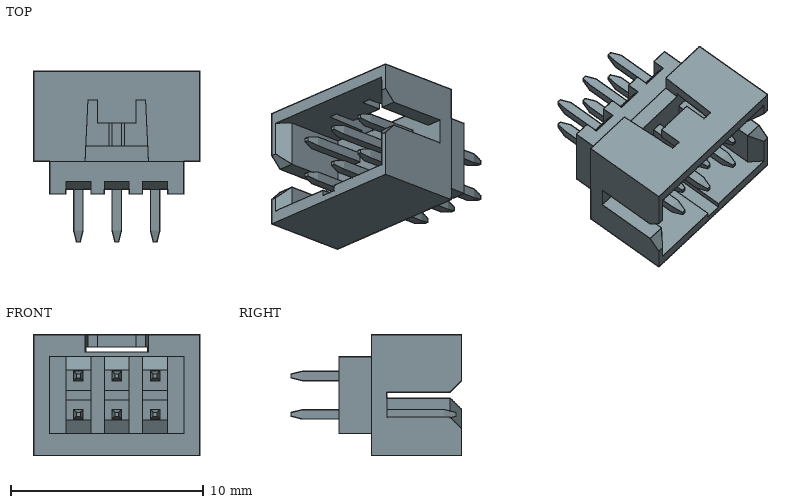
import cadquery as cq


pitch = 2.0
columns = 3
rows = 2
pin_side = 0.5
pin_tip_side = 0.2
pin_taper = 0.6
pin_front_length = 2.5
pin_mouth_setback = 0.3

base_width = 7.0
base_height = 4.0
base_depth = 1.7

shroud_width = 8.65
shroud_height = 6.3
shroud_depth = 4.7
floor_thickness = 0.8
side_wall = 0.9
top_wall = 0.65
lead_in = 0.6
key_groove_width = 0.83
key_groove_depth = 0.3

slot_height = 1.3
slot_offset = 0.5
slot_flare = 0.6

window_front_width = 3.3
window_back_width = 3.0
window_back_setback = 1.5
window_sill_depth = 0.9
latch_width = 2.0
latch_length = 1.2

pocket_width = 1.3
pocket_flat_depth = 0.25
pocket_end_depth = 0.65
pocket_ramp_height = 0.7
cross_groove_height = 0.5
cross_groove_depth = 0.25

mouth_y = base_depth + shroud_depth
floor_y = base_depth + floor_thickness
cavity_width = shroud_width - 2 * side_wall
cavity_height = shroud_height - 2 * top_wall
column_positions = [(i - (columns - 1) / 2) * pitch for i in range(columns)]
row_positions = [(i - (rows - 1) / 2) * pitch for i in range(rows)]


def block(width, y_start, y_end, height, x=0.0, z=0.0):
    """Box centred on (x, z) that spans y_start to y_end."""
    depth = y_end - y_start
    return cq.Workplane("XY").box(width, depth, height).translate((x, y_start + depth / 2, z))


def make_cavity():
    """Mating cavity with lead-in chamfers on the side walls and a key groove in the bottom wall."""
    half_width = cavity_width / 2
    half_mouth = half_width + lead_in
    outline = [
        (-half_width, floor_y),
        (half_width, floor_y),
        (half_width, mouth_y - lead_in),
        (half_mouth, mouth_y),
        (-half_mouth, mouth_y),
        (-half_width, mouth_y - lead_in),
    ]
    cavity = (
        cq.Workplane("XY")
        .workplane(offset=-cavity_height / 2)
        .polyline(outline)
        .close()
        .extrude(cavity_height)
    )
    groove_height = cavity_height / 2 + key_groove_depth
    groove = block(key_groove_width, floor_y, mouth_y, groove_height, z=-groove_height / 2)
    return cavity.union(groove)


def make_side_slot(side):
    """Slot through one side wall, flared at the mouth; side is -1 or +1 along X."""
    z_centre = -side * slot_offset
    half = slot_height / 2
    flared = half + slot_flare
    outline = [
        (floor_y, z_centre - half),
        (mouth_y - slot_flare, z_centre - half),
        (mouth_y, z_centre - flared),
        (mouth_y, z_centre + flared),
        (mouth_y - slot_flare, z_centre + half),
        (floor_y, z_centre + half),
    ]
    return cq.Workplane("YZ").polyline(outline).close().extrude(side * shroud_width / 2)


def make_window():
    """Tapered window in the top wall that leaves a latch tongue pointing to -Y."""
    back_y = mouth_y - window_back_setback
    half_front = window_front_width / 2
    half_back = window_back_width / 2
    outline = [
        (-half_front, base_depth),
        (half_front, base_depth),
        (half_back, back_y),
        (-half_back, back_y),
    ]
    top_z = shroud_height / 2
    window = (
        cq.Workplane("XY")
        .workplane(offset=top_z - window_sill_depth)
        .polyline(outline)
        .close()
        .extrude(window_sill_depth)
    )
    latch = block(latch_width, back_y - latch_length, back_y, top_wall, z=top_z - top_wall / 2)
    return window.cut(latch)


def make_pocket(x):
    """Pocket in the base's front face: flat centre, ramped ends and a shallow cross groove."""
    half_height = base_height / 2
    half_flat = half_height - pocket_ramp_height
    outline = [
        (0, -half_height),
        (pocket_end_depth, -half_height),
        (pocket_flat_depth, -half_flat),
        (pocket_flat_depth, half_flat),
        (pocket_end_depth, half_height),
        (0, half_height),
    ]
    pocket = (
        cq.Workplane("YZ")
        .workplane(offset=x - pocket_width / 2)
        .polyline(outline)
        .close()
        .extrude(pocket_width)
    )
    groove_end = pocket_flat_depth + cross_groove_depth
    return pocket.union(block(pocket_width, 0, groove_end, cross_groove_height, x=x))


def make_pin(x, z):
    """Square pin along Y with a tapered point at each end."""
    front_shoulder = pin_taper - pin_front_length
    back_shoulder = mouth_y - pin_mouth_setback - pin_taper
    pin = block(pin_side, front_shoulder, back_shoulder, pin_side, x, z)
    for shoulder, direction in ((front_shoulder, -1), (back_shoulder, 1)):
        plane = cq.Plane(origin=(x, shoulder, z), xDir=(1, 0, 0), normal=(0, direction, 0))
        point = (
            cq.Workplane(plane)
            .rect(pin_side, pin_side)
            .workplane(offset=pin_taper)
            .rect(pin_tip_side, pin_tip_side)
            .loft(ruled=True)
        )
        pin = pin.union(point)
    return pin


housing = block(base_width, 0, base_depth, base_height)
housing = housing.union(block(shroud_width, base_depth, mouth_y, shroud_height))
housing = housing.cut(make_cavity())
housing = housing.cut(make_window())
for side in (-1, 1):
    housing = housing.cut(make_side_slot(side))
for column_x in column_positions:
    housing = housing.cut(make_pocket(column_x))

result = housing
for column_x in column_positions:
    for row_z in row_positions:
        result = result.union(make_pin(column_x, row_z))